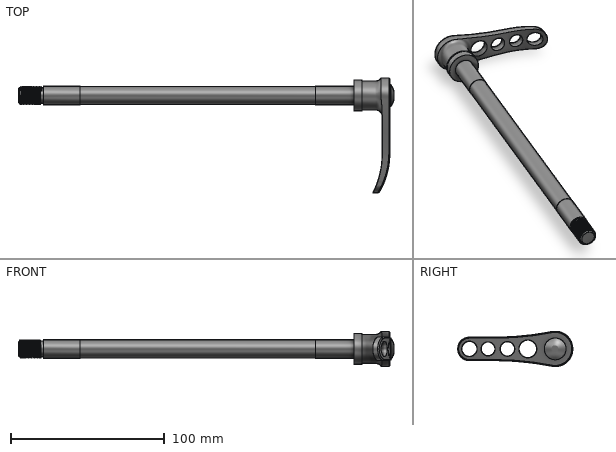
import cadquery as cq
import math


total_length = 244.86
journal_radius = 6.1
shank_radius = 6.0
thread_core_radius = 5.2
thread_crest_radius = 5.9
thread_pitch = 1.0
thread_start = 1.1
thread_length = 13.9
thread_root_width = 0.9
thread_crest_width = 0.1
root_overlap = 0.15
tip_chamfer = 0.8
thread_journal_start = 16.4
thread_journal_end = 40.2
head_journal_start = 193.6
head_radius = 7.1
head_rim_height = 0.6
head_flat_radius = 2.2

washer_start = 218.5
washer_length = 5.3
washer_radius = 10.1

hub_radius = 9.5
hub_start = washer_start + washer_length
disc_radius = 11.5
arm_inner_x = 237.0
arm_thickness = 5.0
arm_outer_x = arm_inner_x + arm_thickness
flare_radius = 4.2
arm_half_width = 7.65
arm_reach = 63.5
tip_centre = arm_reach - arm_half_width
neck_end = 40.2
bend_start = 38.1
inner_bend_radius = 56.0
outer_bend_radius = 48.0
outer_edge_chamfer = 0.7
face_search_margin = 1.0
arm_holes = [(17.8, 11.4), (31.1, 9.3), (43.7, 8.9), (tip_centre, 9.8)]


def rod(start, end, radius):
    """Cylinder on the X axis between two stations."""
    return cq.Workplane("YZ", origin=(start, 0, 0)).circle(radius).extrude(end - start)


def make_thread():
    """Helical ridge with a trapezoidal section, rooted slightly inside the core."""
    root_radius = thread_core_radius - root_overlap
    path = cq.Wire.makeHelix(
        thread_pitch, thread_length, root_radius,
        center=cq.Vector(thread_start, 0, 0), dir=cq.Vector(1, 0, 0),
    )
    start = path.startPoint()
    radial = cq.Vector(0, start.y, start.z).normalized()
    tangent = radial.cross(cq.Vector(1, 0, 0))
    plane = cq.Plane(origin=start.toTuple(), xDir=radial.toTuple(), normal=tangent.toTuple())
    ridge_height = thread_crest_radius - root_radius
    section = cq.Workplane(plane).polyline([
        (0, -thread_root_width / 2),
        (ridge_height, -thread_crest_width / 2),
        (ridge_height, thread_crest_width / 2),
        (0, thread_root_width / 2),
    ]).close()
    return section.sweep(cq.Workplane(obj=path), isFrenet=True)


def dome_station(radius):
    """Station along X where the spherical dome has the given radius from the axis."""
    rim_x = arm_outer_x + head_rim_height
    rise = total_length - rim_x
    centre_x = (total_length + rim_x - (head_radius**2 - head_flat_radius**2) / rise) / 2
    return centre_x + math.sqrt((rim_x - centre_x) ** 2 + head_radius**2 - radius**2)


def make_axle():
    """Threaded shaft with two journals and a domed head that holds the lever."""
    dome_middle = (head_radius + head_flat_radius) / 2
    half_section = (
        cq.Workplane("XY")
        .moveTo(0, 0)
        .lineTo(0, thread_core_radius - tip_chamfer)
        .lineTo(tip_chamfer, thread_core_radius)
        .lineTo(thread_journal_start, thread_core_radius)
        .lineTo(thread_journal_start, journal_radius)
        .lineTo(thread_journal_end, journal_radius)
        .lineTo(thread_journal_end, shank_radius)
        .lineTo(head_journal_start, shank_radius)
        .lineTo(head_journal_start, journal_radius)
        .lineTo(arm_outer_x, journal_radius)
        .lineTo(arm_outer_x, head_radius)
        .lineTo(arm_outer_x + head_rim_height, head_radius)
        .threePointArc((dome_station(dome_middle), dome_middle), (total_length, head_flat_radius))
        .lineTo(total_length, 0)
        .close()
    )
    return half_section.revolve(360, (0, 0, 0), (1, 0, 0)).union(make_thread())


def make_washer():
    """Plain ring between the journal and the lever hub."""
    return rod(washer_start, hub_start, washer_radius).cut(rod(washer_start, hub_start, journal_radius))


def arm_outline():
    """Lever face outline: hub disc blended by concave necks into a parallel rounded end."""
    width_step = disc_radius - arm_half_width
    neck_radius = (neck_end**2 - width_step**2) / (2 * width_step)
    neck_centre_z = arm_half_width + neck_radius
    neck_sweep = math.asin(neck_end / (disc_radius + neck_radius))
    tangent_y = -disc_radius * math.sin(neck_sweep)
    tangent_z = disc_radius * math.cos(neck_sweep)
    middle_y = -neck_end + neck_radius * math.sin(neck_sweep / 2)
    middle_z = neck_centre_z - neck_radius * math.cos(neck_sweep / 2)
    return (
        cq.Workplane("YZ", origin=(hub_start, 0, 0))
        .moveTo(tangent_y, tangent_z)
        .threePointArc((middle_y, middle_z), (-neck_end, arm_half_width))
        .lineTo(-tip_centre, arm_half_width)
        .threePointArc((-arm_reach, 0), (-tip_centre, -arm_half_width))
        .lineTo(-neck_end, -arm_half_width)
        .threePointArc((middle_y, -middle_z), (tangent_y, -tangent_z))
        .threePointArc((disc_radius, 0), (tangent_y, tangent_z))
        .close()
        .extrude(arm_outer_x - hub_start)
    )


def bend_point(face_x, radius, distance):
    """Point on a bend arc at a distance from the axle axis."""
    run = distance - bend_start
    drop = radius - math.sqrt(radius**2 - run**2)
    return (face_x - drop, -distance)


def arm_side_profile():
    """Prism across the arm width: straight bar whose end curves toward the thread."""
    bend_middle = (bend_start + arm_reach) / 2
    return (
        cq.Workplane("XY", origin=(0, 0, -disc_radius))
        .moveTo(arm_inner_x, disc_radius)
        .lineTo(arm_inner_x, -bend_start)
        .threePointArc(
            bend_point(arm_inner_x, inner_bend_radius, bend_middle),
            bend_point(arm_inner_x, inner_bend_radius, arm_reach),
        )
        .lineTo(*bend_point(arm_outer_x, outer_bend_radius, arm_reach))
        .threePointArc(
            bend_point(arm_outer_x, outer_bend_radius, bend_middle),
            (arm_outer_x, -bend_start),
        )
        .lineTo(arm_outer_x, disc_radius)
        .close()
        .extrude(2 * disc_radius)
    )


def hub_profile():
    """Revolved hub whose concave flare runs out on the inner arm face."""
    flare_start = arm_inner_x - flare_radius
    flare_offset = flare_radius * (1 - math.sqrt(0.5))
    return (
        cq.Workplane("XY")
        .moveTo(hub_start, 0)
        .lineTo(hub_start, hub_radius)
        .lineTo(flare_start, hub_radius)
        .threePointArc(
            (arm_inner_x - flare_offset, hub_radius + flare_offset),
            (arm_inner_x, hub_radius + flare_radius),
        )
        .lineTo(arm_inner_x, 0)
        .close()
        .revolve(360, (0, 0, 0), (1, 0, 0))
    )


def make_lever():
    """Hub, arm and bent tip with a chamfered outer rim, a bore and lightening holes."""
    outline = arm_outline()
    arm = outline.intersect(arm_side_profile())
    bend_face = cq.selectors.BoxSelector(
        ((arm_inner_x + arm_outer_x) / 2 - face_search_margin, -arm_reach, -face_search_margin),
        (arm_outer_x, -bend_start, face_search_margin),
    )
    outer_rim = arm.faces(">X").edges("not |Z").add(arm.faces(bend_face).edges("not |Z"))
    arm = outer_rim.chamfer(outer_edge_chamfer)
    lever = arm.union(hub_profile().intersect(outline))
    lever = lever.cut(rod(hub_start, arm_outer_x, journal_radius))
    for distance, diameter in arm_holes:
        hole = cq.Workplane("YZ", origin=(hub_start, -distance, 0)).circle(diameter / 2)
        lever = lever.cut(hole.extrude(arm_outer_x - hub_start))
    return lever


axle = make_axle()
washer = make_washer()
lever = make_lever()

result = cq.Compound.makeCompound([axle.solids().val(), washer.solids().val(), lever.solids().val()])